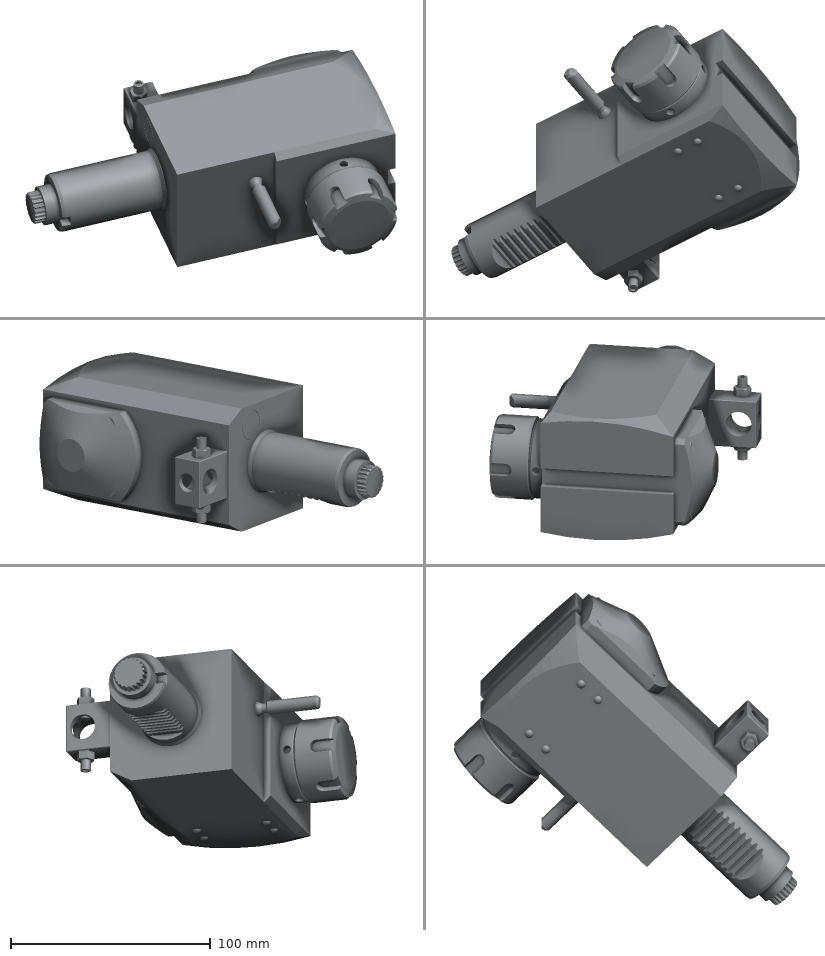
import cadquery as cq
import math


BODY_HALF = 32.0
BODY_LENGTH = 114.2
SIDE_CHAMFER_X = 11.2
SIDE_CHAMFER_Z = 6.2
PLATE_STEP = 3.5
PLATE_CHAMFER = 3.3
PLATE_FRONT_Y = 51.4
CROWN_RADIUS = 153.8
CROWN_DROP = 0.7
CROWN_SLOPE = 0.25
CROWN_X = 8.7
NOTCH_WIDTH = 9.8
NOTCH_DEPTH = 4.0
PLUG_X = -12.7
PLUG_Z = 21.5
PLUG_RADIUS = 7.6
PLUG_RING_WIDTH = 0.27
PLUG_RING_DEPTH = 0.5

DOME_X = (-13.0, 23.9)
DOME_PITCH_Y = 11.8
DOME_RADIUS = 2.2
DOME_HEIGHT = 1.5

COLLAR_RADIUS = 16.1
COLLAR_STRAIGHT = 0.4
COLLAR_LENGTH = 2.0
SHANK_RADIUS = 15.0
SHANK_LENGTH = 54.7
SHANK_TAPER_LENGTH = 1.6
SHANK_TAPER_DEPTH = 0.45
BOSS_RADIUS = 10.0
BOSS_END = 61.4
SPLINE_RADIUS = 8.1
SPLINE_ROOT_RADIUS = 7.2
SPLINE_END = 66.8
SPLINE_TEETH = 20
TOOTH_ROOT_SHARE = 0.3
TOOTH_CREST_SHARE = 0.3
SPLINE_CHAMFER = 0.5
KEY_WIDTH = 5.6
KEY_LENGTH = 4.3

RACK_START = 6.9
RACK_FLAT = 12.1
RACK_RAMP_END = 44.7
RACK_GROOVES = 8
RACK_FIRST = 11.4
RACK_PITCH = 4.0
RACK_DEPTH = 1.6
RACK_TOP_WIDTH = 2.4
RACK_ROOT_WIDTH = 1.3

SPINDLE_Y = 85.6
FLANGE_RADIUS = 20.1
FLANGE_END = 42.5
NECK_RADIUS = 18.6
NUT_START = 43.5
NUT_RADIUS = 21.0
NUT_TAPER_X = 61.7
NUT_RIM_X = 63.0
NUT_RIM_RADIUS = 20.3
NUT_END = 63.9
NUT_FACE_RADIUS = 16.1
EDGE_BREAK = 0.4
NUT_SLOTS = 6
SLOT_WIDTH = 6.5
SLOT_START = 51.8
SLOT_FLOOR = 17.7
SPANNER_HOLES = 4
SPANNER_HOLE_RADIUS = 2.2
SPANNER_HOLE_DEPTH = 3.6
SPANNER_HOLE_X = 39.3

COVER_RADIUS = 32.0
COVER_HALF_HEIGHT = 23.0
COVER_REAR = 24.6
COVER_RIM_X = -37.1
COVER_BEVEL_X = -38.0
COVER_TIP_HALF_HEIGHT = 18.3
COVER_TIP_X = -48.3
COVER_TIP_RADIUS = 8.5
PEG_OFFSET = 18.0
PEG_RADIUS = 2.7
PEG_TOP_X = -39.6

BLOCK_LEFT_X = -56.0
BLOCK_FRONT_Y = 1.0
BLOCK_DEPTH = 15.2
BLOCK_HALF_HEIGHT = 12.3
BLOCK_CHAMFER = 0.4
BORE_X = -47.0
BORE_RADIUS = 6.5
SIDE_HOLE_RADIUS = 4.9
FEED_RADIUS = 1.3
FEED_DEPTH = 5.5
SCREW_Y = 6.2
SCREW_RADIUS = 2.5
SCREW_TOP = 21.7
SCREW_TIP = 5.8
SOCKET_SIZE = 3.6
SOCKET_DEPTH = 1.5
HEX_CORNERS = 9.2
HEX_TOP = 16.5
HEX_CHAMFER = 0.5

PIN_Y = 41.3
PIN_Z = 14.1
PIN_RADIUS = 3.5
PIN_BASE_RADIUS = 3.8
PIN_BASE_END = 35.0
PIN_NECK_RADIUS = 2.4
PIN_NECK_END = 37.1
PIN_SHOULDER = 38.0
PIN_END = 65.0
PIN_TIP_CHAMFER = 1.3
PIN_BEVEL = 2.9

PLATE_X = BODY_HALF + PLATE_STEP


def box(x0, x1, y0, y1, z0, z1):
    return cq.Workplane("XY").box(x1 - x0, y1 - y0, z1 - z0, centered=False).translate((x0, y0, z0))


def cylinder(start, direction, radius, length):
    return cq.Workplane(cq.Solid.makeCylinder(radius, length, cq.Vector(*start), cq.Vector(*direction)))


def turned_along_x(points, y, z):
    """Solid of revolution about a line parallel to X; points are (x, radius)."""
    return cq.Workplane("XY").polyline(points).close().revolve(360, (0, 0), (1, 0)).translate((0, y, z))


def turned_along_y(points, x, z):
    """Solid of revolution about a line parallel to Y; points are (radius, y)."""
    return cq.Workplane("XY").polyline(points).close().revolve(360, (0, 0), (0, 1)).translate((x, 0, z))


def make_body():
    outline = [
        (-BODY_HALF + SIDE_CHAMFER_X, BODY_HALF),
        (BODY_HALF, BODY_HALF),
        (BODY_HALF, -BODY_HALF),
        (-BODY_HALF + SIDE_CHAMFER_X, -BODY_HALF),
        (-BODY_HALF, -BODY_HALF + SIDE_CHAMFER_Z),
        (-BODY_HALF, BODY_HALF - SIDE_CHAMFER_Z),
    ]
    pad_outline = [
        (0, BODY_HALF),
        (BODY_HALF, BODY_HALF),
        (PLATE_X, BODY_HALF - PLATE_CHAMFER),
        (PLATE_X, -BODY_HALF + PLATE_CHAMFER),
        (BODY_HALF, -BODY_HALF),
        (0, -BODY_HALF),
    ]
    rear = cq.Workplane("XZ", origin=(0, BODY_LENGTH, 0))
    body = rear.polyline(outline).close().extrude(BODY_LENGTH)
    body = body.union(rear.polyline(pad_outline).close().extrude(BODY_LENGTH - PLATE_FRONT_Y))

    crown_profile = [
        (0, 0),
        (CROWN_RADIUS + CROWN_SLOPE * BODY_LENGTH, 0),
        (CROWN_RADIUS, BODY_LENGTH),
        (0, BODY_LENGTH),
    ]
    crown_axis = BODY_HALF - CROWN_DROP - CROWN_RADIUS
    for axis_z in (crown_axis, -crown_axis):
        body = body.intersect(turned_along_y(crown_profile, CROWN_X, axis_z))

    half_notch = NOTCH_WIDTH / 2
    notch = box(-BODY_HALF, PLATE_X, BODY_LENGTH - NOTCH_DEPTH, BODY_LENGTH, -half_notch, half_notch)
    ring = (
        cq.Workplane("XZ", origin=(PLUG_X, 0, PLUG_Z))
        .circle(PLUG_RADIUS)
        .circle(PLUG_RADIUS - PLUG_RING_WIDTH)
        .extrude(-PLUG_RING_DEPTH)
    )
    return body.cut(notch).cut(ring)


def make_domes():
    """Spherical caps under the body, in two pairs about the spindle axis."""
    sphere_radius = (DOME_RADIUS**2 + DOME_HEIGHT**2) / (2 * DOME_HEIGHT)
    center_z = -BODY_HALF - DOME_HEIGHT + sphere_radius
    domes = cq.Workplane("XY")
    for x in DOME_X:
        for y in (SPINDLE_Y - DOME_PITCH_Y / 2, SPINDLE_Y + DOME_PITCH_Y / 2):
            domes = domes.union(cq.Workplane("XY").sphere(sphere_radius).translate((x, y, center_z)))
    return domes


def make_spline():
    tooth_angle = 2 * math.pi / SPLINE_TEETH
    points = []
    for tooth in range(SPLINE_TEETH):
        root_middle = tooth * tooth_angle
        crest_middle = root_middle + tooth_angle / 2
        for radius, middle, share in (
            (SPLINE_ROOT_RADIUS, root_middle, TOOTH_ROOT_SHARE),
            (SPLINE_RADIUS, crest_middle, TOOTH_CREST_SHARE),
        ):
            for side in (-1, 1):
                angle = middle + side * share * tooth_angle / 2
                points.append((radius * math.cos(angle), radius * math.sin(angle)))
    teeth = cq.Workplane("XZ").polyline(points).close().extrude(SPLINE_END)
    envelope = [
        (0, 0),
        (SPLINE_RADIUS, 0),
        (SPLINE_RADIUS, -SPLINE_END + SPLINE_CHAMFER),
        (SPLINE_RADIUS - SPLINE_CHAMFER, -SPLINE_END),
        (0, -SPLINE_END),
    ]
    return teeth.intersect(turned_along_y(envelope, 0, 0))


def make_rack_cut():
    ramp_run = SHANK_RADIUS - RACK_FLAT
    clearance = [
        (-RACK_START, -RACK_FLAT),
        (-RACK_RAMP_END + ramp_run, -RACK_FLAT),
        (-RACK_RAMP_END, -SHANK_RADIUS),
        (-RACK_START, -SHANK_RADIUS),
    ]
    across = cq.Workplane("YZ", origin=(-SHANK_RADIUS, 0, 0))
    cut = across.polyline(clearance).close().extrude(2 * SHANK_RADIUS)
    for index in range(RACK_GROOVES):
        y = -RACK_FIRST - index * RACK_PITCH
        groove = [
            (y - RACK_TOP_WIDTH / 2, -RACK_FLAT),
            (y - RACK_ROOT_WIDTH / 2, -RACK_FLAT + RACK_DEPTH),
            (y + RACK_ROOT_WIDTH / 2, -RACK_FLAT + RACK_DEPTH),
            (y + RACK_TOP_WIDTH / 2, -RACK_FLAT),
        ]
        cut = cut.union(across.polyline(groove).close().extrude(2 * SHANK_RADIUS))
    return cut


def make_shank():
    profile = [
        (0, 0),
        (COLLAR_RADIUS, 0),
        (COLLAR_RADIUS, -COLLAR_STRAIGHT),
        (SHANK_RADIUS, -COLLAR_LENGTH),
        (SHANK_RADIUS, -SHANK_LENGTH + SHANK_TAPER_LENGTH),
        (SHANK_RADIUS - SHANK_TAPER_DEPTH, -SHANK_LENGTH),
        (BOSS_RADIUS, -SHANK_LENGTH),
        (BOSS_RADIUS, -BOSS_END),
        (0, -BOSS_END),
    ]
    half_key = KEY_WIDTH / 2
    key_slot = box(BOSS_RADIUS, SHANK_RADIUS, -SHANK_LENGTH, -SHANK_LENGTH + KEY_LENGTH, -half_key, half_key)
    return turned_along_y(profile, 0, 0).cut(make_rack_cut()).cut(key_slot).union(make_spline())


def make_spindle():
    """Flange and clamping nut on the right face."""
    profile = [
        (0, 0),
        (0, FLANGE_RADIUS),
        (FLANGE_END - EDGE_BREAK, FLANGE_RADIUS),
        (FLANGE_END, FLANGE_RADIUS - EDGE_BREAK),
        (FLANGE_END, NECK_RADIUS),
        (NUT_START, NECK_RADIUS),
        (NUT_START, NUT_RADIUS - EDGE_BREAK),
        (NUT_START + EDGE_BREAK, NUT_RADIUS),
        (NUT_TAPER_X, NUT_RADIUS),
        (NUT_RIM_X, NUT_RIM_RADIUS),
        (NUT_END, NUT_FACE_RADIUS),
        (NUT_END, 0),
    ]
    spindle = turned_along_x(profile, 0, 0)

    half_slot = SLOT_WIDTH / 2
    slot_depth = NUT_RADIUS - SLOT_FLOOR
    slot = box(SLOT_START + half_slot, NUT_END, -half_slot, half_slot, SLOT_FLOOR, NUT_RADIUS)
    slot = slot.union(cylinder((SLOT_START + half_slot, 0, SLOT_FLOOR), (0, 0, 1), half_slot, slot_depth))
    for index in range(NUT_SLOTS):
        spindle = spindle.cut(slot.rotate((0, 0, 0), (1, 0, 0), 90 + index * 360 / NUT_SLOTS))

    hole_floor = FLANGE_RADIUS - SPANNER_HOLE_DEPTH
    hole = cylinder((SPANNER_HOLE_X, 0, hole_floor), (0, 0, 1), SPANNER_HOLE_RADIUS, SPANNER_HOLE_DEPTH)
    for index in range(SPANNER_HOLES):
        spindle = spindle.cut(hole.rotate((0, 0, 0), (1, 0, 0), index * 360 / SPANNER_HOLES))
    return spindle.translate((0, SPINDLE_Y, 0))


def make_cover():
    """Conical cover with flats at its rear, top and bottom, and four screw heads."""
    profile = [
        (-BODY_HALF, 0),
        (-BODY_HALF, COVER_RADIUS),
        (COVER_RIM_X, COVER_RADIUS),
        (COVER_TIP_X, COVER_TIP_RADIUS),
        (COVER_TIP_X, 0),
    ]
    flats = [
        (-BODY_HALF, -COVER_HALF_HEIGHT),
        (COVER_BEVEL_X, -COVER_HALF_HEIGHT),
        (COVER_TIP_X, -COVER_TIP_HALF_HEIGHT),
        (COVER_TIP_X, COVER_TIP_HALF_HEIGHT),
        (COVER_BEVEL_X, COVER_HALF_HEIGHT),
        (-BODY_HALF, COVER_HALF_HEIGHT),
    ]
    envelope = (
        cq.Workplane("XZ", origin=(0, SPINDLE_Y + COVER_REAR, 0))
        .polyline(flats)
        .close()
        .extrude(COVER_REAR + COVER_RADIUS)
    )
    cover = turned_along_x(profile, SPINDLE_Y, 0).intersect(envelope)
    for y in (SPINDLE_Y - PEG_OFFSET, SPINDLE_Y + PEG_OFFSET):
        for z in (-PEG_OFFSET, PEG_OFFSET):
            cover = cover.union(cylinder((-BODY_HALF, y, z), (-1, 0, 0), PEG_RADIUS, -BODY_HALF - PEG_TOP_X))
    return cover


def make_hex_screw():
    """Set screw with a lock nut, passing from above the coolant block into its bore."""
    nut_height = HEX_TOP - BLOCK_HALF_HEIGHT
    base = cq.Workplane("XY", origin=(0, 0, BLOCK_HALF_HEIGHT))
    nut = base.polygon(6, HEX_CORNERS).extrude(nut_height)
    nut = nut.intersect(base.circle(HEX_CORNERS / 2).extrude(nut_height).faces(">Z").chamfer(HEX_CHAMFER))
    screw = cylinder((0, 0, SCREW_TIP), (0, 0, 1), SCREW_RADIUS, SCREW_TOP - SCREW_TIP)
    socket = cq.Workplane("XY", origin=(0, 0, SCREW_TOP)).polygon(6, SOCKET_SIZE).extrude(-SOCKET_DEPTH)
    return nut.union(screw).cut(socket).translate((BORE_X, SCREW_Y, 0))


def make_coolant_block():
    block_rear = BLOCK_FRONT_Y + BLOCK_DEPTH
    block = box(BLOCK_LEFT_X, -BODY_HALF, BLOCK_FRONT_Y, block_rear, -BLOCK_HALF_HEIGHT, BLOCK_HALF_HEIGHT)
    return block.faces("<X or >Z or <Z").edges("not(>X)").chamfer(BLOCK_CHAMFER)


def make_coolant_holes():
    center_y = BLOCK_FRONT_Y + BLOCK_DEPTH / 2
    bore = cylinder((BORE_X, BLOCK_FRONT_Y, 0), (0, 1, 0), BORE_RADIUS, BLOCK_DEPTH)
    side_hole = cylinder((BLOCK_LEFT_X, center_y, 0), (1, 0, 0), SIDE_HOLE_RADIUS, -BODY_HALF - BLOCK_LEFT_X)
    feed = cylinder((BORE_X, center_y, 0), (1, 0, 0), FEED_RADIUS, -BODY_HALF + FEED_DEPTH - BORE_X)
    return bore.union(side_hole).union(feed)


def make_pin():
    profile = [
        (0, 0),
        (0, PIN_BASE_RADIUS),
        (BODY_HALF, PIN_BASE_RADIUS),
        (PIN_BASE_END, PIN_NECK_RADIUS),
        (PIN_NECK_END, PIN_NECK_RADIUS),
        (PIN_SHOULDER, PIN_RADIUS),
        (PIN_END - PIN_TIP_CHAMFER, PIN_RADIUS),
        (PIN_END, PIN_RADIUS - PIN_TIP_CHAMFER),
        (PIN_END, 0),
    ]
    bevel = [
        (PIN_END - PIN_BEVEL, PIN_RADIUS),
        (PIN_END, PIN_RADIUS),
        (PIN_END, PIN_RADIUS - PIN_BEVEL),
    ]
    pin = turned_along_x(profile, 0, 0)
    pin = pin.cut(cq.Workplane("XY").polyline(bevel).close().extrude(PIN_RADIUS, both=True))
    return pin.translate((0, PIN_Y, PIN_Z))


hex_screw = make_hex_screw()
result = (
    make_body()
    .union(make_domes())
    .union(make_shank())
    .union(make_spindle())
    .union(make_cover())
    .union(make_coolant_block())
    .union(make_pin())
    .cut(make_coolant_holes())
    .union(hex_screw)
    .union(hex_screw.mirror("XY"))
)